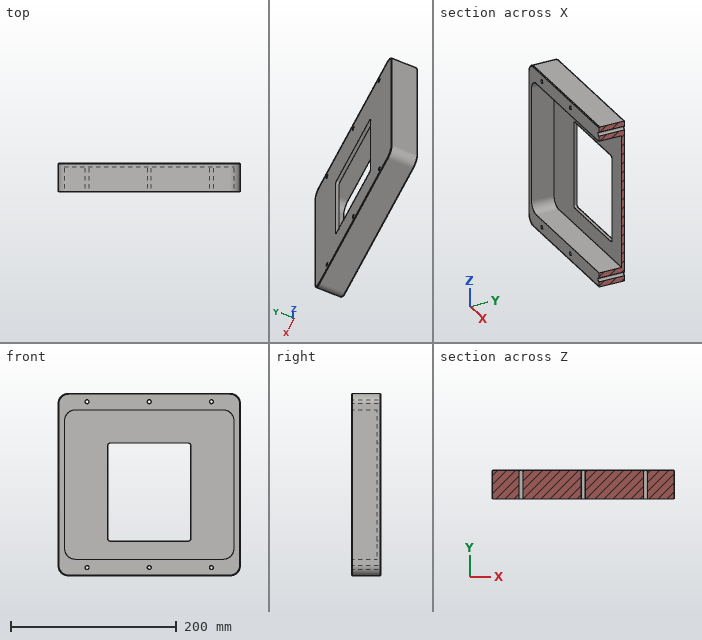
import cadquery as cq

SIDE = 220.0
DEPTH = 35.0
CORNER_RADIUS = 12.5
EDGE_CHAMFER = 1.0

POCKET_WIDTH = 204.0
POCKET_HEIGHT = 180.0
POCKET_RADIUS = 12.5
BACK_THICKNESS = 4.5

WINDOW_WIDTH = 100.0
WINDOW_HEIGHT = 118.0
WINDOW_RADIUS = 3.0
WINDOW_DROP = 9.0

HOLE_DIAMETER = 4.5
HOLE_SPACING_X = 75.0
HOLE_OFFSET_Z = (SIDE + POCKET_HEIGHT) / 4

FRONT_Y = -DEPTH / 2


def rounded_block(width, height, radius, depth):
    """Block with rounded corners that runs from the front face toward +Y."""
    return (
        cq.Workplane("XZ", origin=(0, FRONT_Y, 0))
        .rect(width, height)
        .extrude(-depth)
        .edges("|Y")
        .fillet(radius)
    )


def make_body():
    """Outer block with the rims of its front and back faces chamfered."""
    block = rounded_block(SIDE, SIDE, CORNER_RADIUS, DEPTH)
    return block.faces("<Y or >Y").edges().chamfer(EDGE_CHAMFER)


def make_mounting_holes():
    """Through holes, three in the top rim and three in the bottom rim."""
    centers = [
        (column * HOLE_SPACING_X, row * HOLE_OFFSET_Z)
        for column in (-1, 0, 1)
        for row in (-1, 1)
    ]
    return (
        cq.Workplane("XZ", origin=(0, FRONT_Y, 0))
        .pushPoints(centers)
        .circle(HOLE_DIAMETER / 2)
        .extrude(-DEPTH)
    )


pocket = rounded_block(POCKET_WIDTH, POCKET_HEIGHT, POCKET_RADIUS, DEPTH - BACK_THICKNESS)
window = rounded_block(WINDOW_WIDTH, WINDOW_HEIGHT, WINDOW_RADIUS, DEPTH).translate((0, 0, -WINDOW_DROP))

result = make_body().cut(pocket).cut(window).cut(make_mounting_holes())